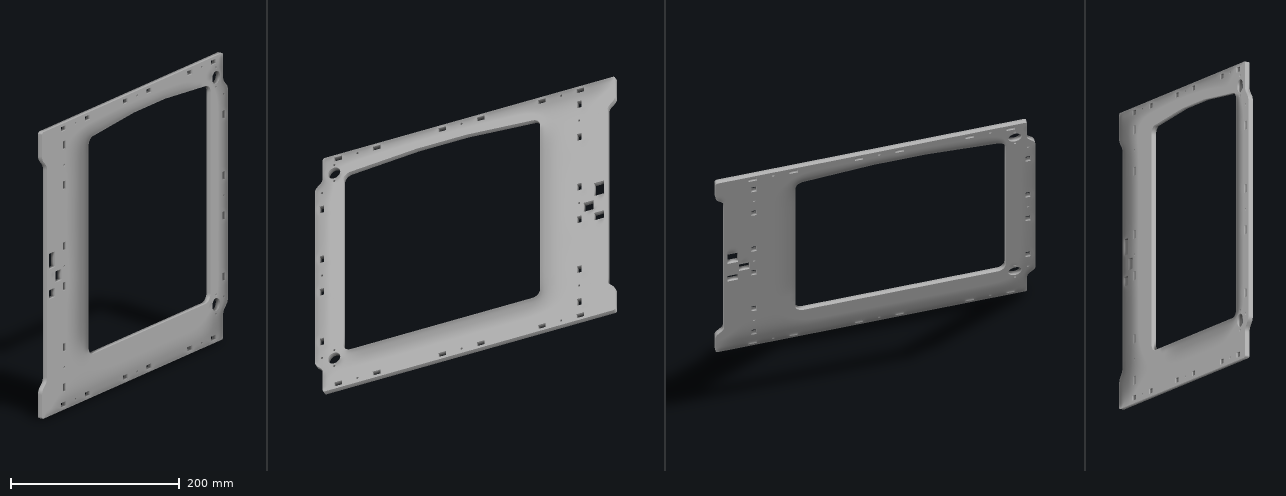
import cadquery as cq

thickness = 6.0
width = 390.0
height = 357.0
half_width = width / 2
half_height = height / 2

step_depth = 10.0
step_middle_z = 139.0
step_radius = 10.0
corner_radius = 2.7

opening_left = 158.5
opening_right = -97.5
opening_bottom = -124.8
opening_eave = 145.5
opening_top = 153.0
roof_flat_width = 64.7
opening_radius = 10.0

slot_length = 10.0
slot_width = 6.0
slot_offset = 25.0
screw_diameter = 3.1
row_inset = 6.5
row_z = half_height - row_inset
row_pair_centers = (140.0, 4.5, -124.8)
left_column_y = 186.0
right_column_y = -148.2
column_pair_spacing = 126.0

round_diameter = 16.0
round_y = 170.0
round_centers_z = (151.5, -131.5)
round_screw_offset = 12.0

window_width = 13.0
windows = (
    (-174.0, 14.0, 19.5),
    (-160.3, -8.5, 13.5),
    (-174.0, -27.3, 11.5),
)


def plate(points):
    """Extrude a closed outline of (y, z) points through the panel thickness."""
    return cq.Workplane("YZ").polyline(points).close().extrude(thickness / 2, both=True)


def box_cutter(y, z, size_y, size_z):
    """Block that cuts a rectangular hole through the panel."""
    return cq.Workplane("XY").box(2 * thickness, size_y, size_z).translate((0, y, z))


def round_cutter(y, z, diameter):
    """Cylinder that cuts a round hole through the panel."""
    return cq.Workplane("YZ").center(y, z).circle(diameter / 2).extrude(thickness, both=True)


def panel():
    """Outer outline with rounded corners and blended 45 degree steps."""
    step_outer_z = step_middle_z + step_depth / 2
    step_inner_z = step_middle_z - step_depth / 2
    end_left = half_width - step_depth
    waist_right = -half_width + step_depth
    body = plate([
        (end_left, half_height),
        (end_left, step_outer_z),
        (half_width, step_inner_z),
        (half_width, -step_inner_z),
        (end_left, -step_outer_z),
        (end_left, -half_height),
        (-half_width, -half_height),
        (-half_width, -step_outer_z),
        (waist_right, -step_inner_z),
        (waist_right, step_inner_z),
        (-half_width, step_outer_z),
        (-half_width, half_height),
    ])
    for end in (">Z", "<Z"):
        body = body.faces(end).edges("|X").fillet(corner_radius)
    step_zone = cq.selectors.BoxSelector((-thickness, -width, -row_z), (thickness, width, row_z))
    return body.edges("|X").edges(step_zone).fillet(step_radius)


def opening_cutter():
    """Main opening: rounded corners at the walls, plain bends in the roof."""
    middle = (opening_left + opening_right) / 2
    cutter = plate([
        (opening_left, opening_bottom),
        (opening_left, opening_eave),
        (middle + roof_flat_width / 2, opening_top),
        (middle - roof_flat_width / 2, opening_top),
        (opening_right, opening_eave),
        (opening_right, opening_bottom),
    ])
    for side in (">Y", "<Y"):
        cutter = cutter.faces(side).edges("|X").fillet(opening_radius)
    return cutter


def row_cutters(z):
    """Slots lying along Y, with their screw holes, in the row at height z."""
    cutters = []
    for y in row_pair_centers:
        cutters.append(round_cutter(y, z, screw_diameter))
        for offset in (-slot_offset, slot_offset):
            cutters.append(box_cutter(y + offset, z, slot_length, slot_width))
    return cutters


def column_cutters(y, slot_centers_z):
    """Slots standing along Z and three screw holes in the column at y."""
    cutters = [box_cutter(y, z, slot_width, slot_length) for z in slot_centers_z]
    for z in (-column_pair_spacing, 0, column_pair_spacing):
        cutters.append(round_cutter(y, z, screw_diameter))
    return cutters


def round_hole_cutters(z):
    """Large round hole with a screw hole above and below."""
    cutters = [round_cutter(round_y, z, round_diameter)]
    for offset in (-round_screw_offset, round_screw_offset):
        cutters.append(round_cutter(round_y, z + offset, screw_diameter))
    return cutters


inner_slot_z = column_pair_spacing - slot_offset
outer_slot_z = column_pair_spacing + slot_offset
left_slots = (-inner_slot_z, -slot_offset, slot_offset, inner_slot_z)
right_slots = (-outer_slot_z, *left_slots, outer_slot_z)

cutters = [opening_cutter()]
for row in (row_z, -row_z):
    cutters += row_cutters(row)
cutters += column_cutters(left_column_y, left_slots)
cutters += column_cutters(right_column_y, right_slots)
for hole_z in round_centers_z:
    cutters += round_hole_cutters(hole_z)
for window_y, window_z, window_height in windows:
    cutters.append(box_cutter(window_y, window_z, window_width, window_height))

result = panel()
for cutter in cutters:
    result = result.cut(cutter)